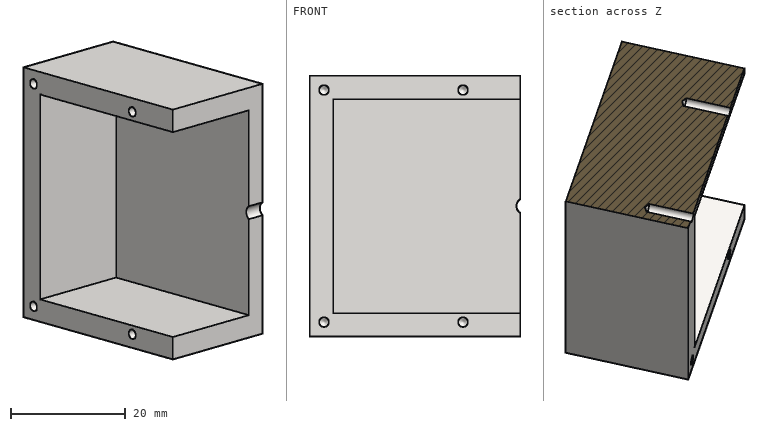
import cadquery as cq
import math

length = 36.75
depth = 22.23
height = 45.5

side_wall = 4.1
back_wall = 3.4

hole_diameter = 1.7
hole_depth = 8.0
drill_point_angle = 118.0
hole_inset = 2.5
hole_spacing = 24.25

notch_radius = 1.4
notch_depth = 0.65


def make_shell():
    """Block centred on the origin, hollowed out and open to the front and to the right."""
    block = cq.Workplane("XY").box(length, depth, height)
    cavity = (
        cq.Workplane("XY")
        .box(length - side_wall, depth - back_wall, height - 2 * side_wall)
        .translate((side_wall / 2, -back_wall / 2, 0))
    )
    return block.cut(cavity)


def make_screw_hole(x, z):
    """Drilled hole with a conical tip, running in +Y from the front face."""
    radius = hole_diameter / 2
    tip_length = radius / math.tan(math.radians(drill_point_angle / 2))
    return (
        cq.Workplane("XY")
        .polyline([(0, 0), (radius, 0), (radius, hole_depth), (0, hole_depth + tip_length)])
        .close()
        .revolve(360, (0, 0, 0), (0, 1, 0))
        .translate((x, -depth / 2, z))
    )


def make_notch():
    """Cylinder along Y that bites into the middle of the right edge of the back wall."""
    return (
        cq.Workplane("XZ")
        .center(length / 2 - notch_depth + notch_radius, 0)
        .circle(notch_radius)
        .extrude(depth, both=True)
    )


result = make_shell().cut(make_notch())

first_hole_x = -length / 2 + hole_inset
hole_z = height / 2 - hole_inset
for hole_x in (first_hole_x, first_hole_x + hole_spacing):
    for side in (-1, 1):
        result = result.cut(make_screw_hole(hole_x, side * hole_z))